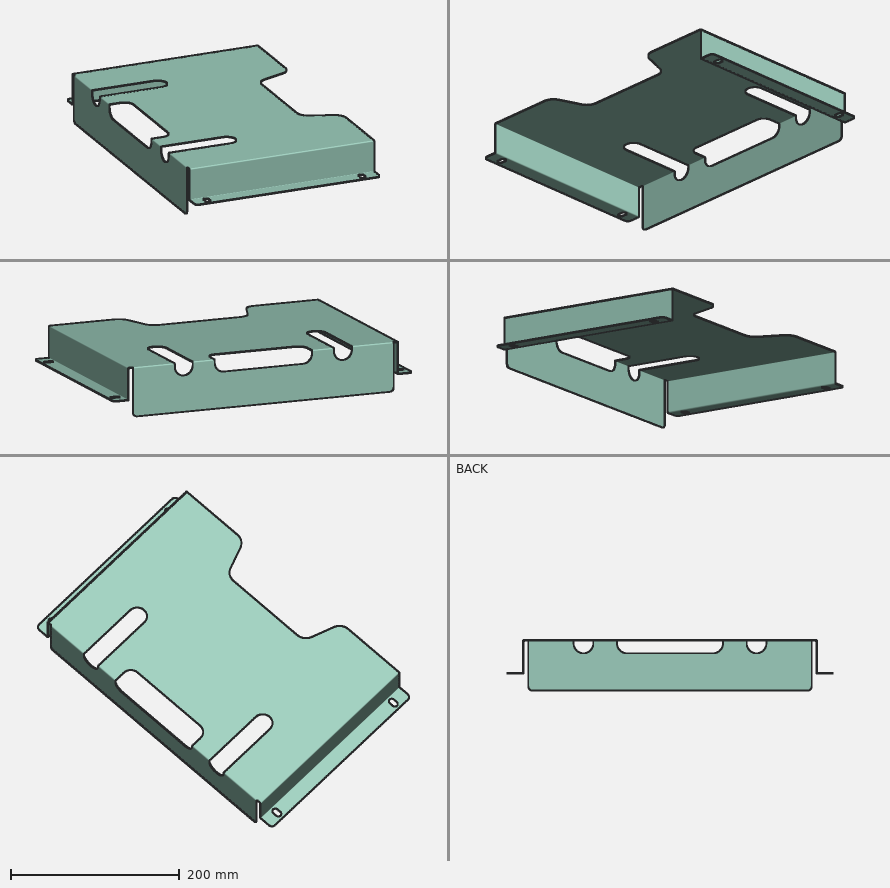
import cadquery as cq
import math

width = 385.0
length = 240.0
height = 60.0
sheet = 1.2
bend_outer = 1.5
bend_inner = bend_outer - sheet

wall_half = 174.0
wall_height = 40.0
wall_front = sheet
wall_inner = wall_half - sheet
lip_top = -wall_height + sheet
lip_corner = 5.0

apron_width = 335.7
apron_corner = 5.0

mount_length = 12.0
mount_width = 7.0
mount_spacing = 200.2
mount_x = (width / 2 + wall_inner) / 2

finger_width = 23.0
finger_x = 102.5
finger_reach = 91.5
handle_width = 125.0
handle_reach = 26.5
handle_corner = 11.5
apron_reach = 15.8
cut_depth = bend_outer

notch_width = handle_width
notch_depth = 47.5
notch_taper = math.radians(20)
notch_fillet = 15.0


def side_bracket():
    """Right half of the top plate with its wall and lip, bent from one strip."""
    strip = (
        cq.Workplane("XZ", origin=(0, wall_front, 0))
        .moveTo(0, 0)
        .lineTo(wall_half - bend_outer, 0)
        .radiusArc((wall_half, -bend_outer), bend_outer)
        .lineTo(wall_half, lip_top + bend_inner)
        .radiusArc((wall_half + bend_inner, lip_top), -bend_inner)
        .lineTo(width / 2, lip_top)
        .lineTo(width / 2, -wall_height)
        .lineTo(wall_inner + bend_outer, -wall_height)
        .radiusArc((wall_inner, -wall_height + bend_outer), bend_outer)
        .lineTo(wall_inner, -sheet - bend_inner)
        .radiusArc((wall_inner - bend_inner, -sheet), -bend_inner)
        .lineTo(0, -sheet)
        .close()
        .extrude(-(length - wall_front))
    )
    return strip.edges("|Z and >X").fillet(lip_corner)


def front_trim():
    """Strip removed so that the plate ends where the front bend starts."""
    return cq.Workplane("XY").box(
        2 * (wall_half - bend_outer), 2 * bend_outer, 2 * sheet
    )


def apron():
    """Front bend and the flat apron hanging from it."""
    profile = (
        cq.Workplane("YZ", origin=(-apron_width / 2, 0, 0))
        .moveTo(bend_outer, 0)
        .radiusArc((0, -bend_outer), -bend_outer)
        .lineTo(0, -height)
        .lineTo(sheet, -height)
        .lineTo(sheet, -bend_outer)
        .radiusArc((bend_outer, -sheet), bend_inner)
        .close()
        .extrude(apron_width)
    )
    return profile.edges("|Y and <Z").fillet(apron_corner)


def finger_opening(plane, reach):
    """Pair of round-ended openings reaching equally far to both sides of the bend line."""
    return (
        plane.pushPoints([(-finger_x, 0), (finger_x, 0)])
        .slot2D(2 * reach, finger_width, 90)
        .extrude(cut_depth, both=True)
    )


def handle_opening(plane, reach):
    """Rounded rectangular opening reaching equally far to both sides of the bend line."""
    blank = plane.rect(handle_width, 2 * reach).extrude(cut_depth, both=True)
    return blank.edges(cq.selectors.ParallelDirSelector(plane.plane.zDir)).fillet(handle_corner)


def rear_notch():
    """Tapered opening with rounded corners at its floor and at the rear edge."""
    floor_half = notch_width / 2
    mouth_half = floor_half + notch_depth * math.tan(notch_taper)
    floor_y = length - notch_depth
    beyond = length + notch_fillet
    outer_half = mouth_half + 2 * notch_fillet
    return (
        cq.Workplane("XY")
        .polyline([
            (-floor_half, floor_y),
            (floor_half, floor_y),
            (mouth_half, length),
            (outer_half, length),
            (outer_half, beyond),
            (-outer_half, beyond),
            (-outer_half, length),
            (-mouth_half, length),
        ])
        .close()
        .extrude(-2 * sheet)
        .edges(cq.selectors.BoxSelector(
            (-mouth_half - sheet, floor_y - sheet, -height),
            (mouth_half + sheet, length + sheet, height),
        ))
        .edges("|Z")
        .fillet(notch_fillet)
    )


def mounting_slots():
    """Four slots through the lips, two on each side."""
    return (
        cq.Workplane("XY", origin=(0, length / 2, -wall_height - sheet))
        .rect(2 * mount_x, mount_spacing, forConstruction=True)
        .vertices()
        .slot2D(mount_length, mount_width)
        .extrude(3 * sheet)
    )


right_side = side_bracket()
body = right_side.union(right_side.mirror("YZ")).cut(front_trim()).union(apron())

plate_plane = cq.Workplane("XY")
apron_plane = cq.Workplane("XZ")
for opening, plate_reach in ((finger_opening, finger_reach), (handle_opening, handle_reach)):
    body = body.cut(opening(plate_plane, plate_reach))
    body = body.cut(opening(apron_plane, apron_reach))

result = body.cut(rear_notch()).cut(mounting_slots())